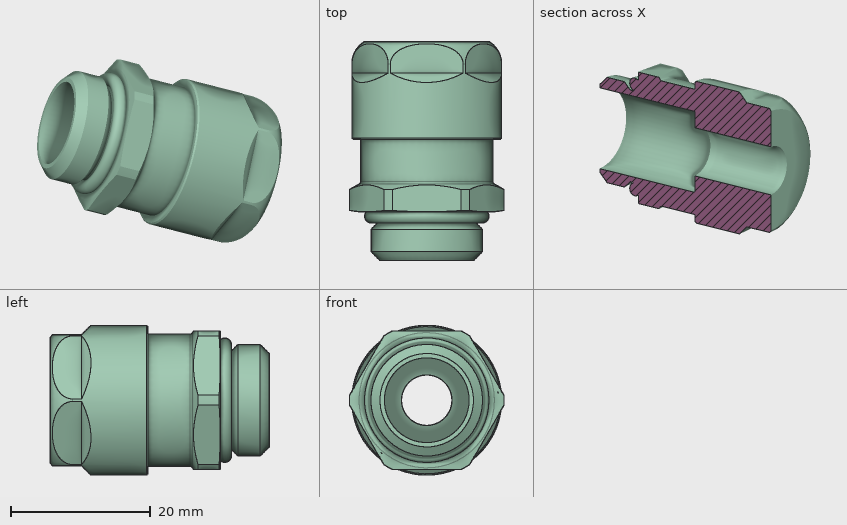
import cadquery as cq
import math

LENGTH = 31.4

THREAD_DIA = 16.0
THREAD_CHAMFER = 1.3
THREAD_END = 4.5
GROOVE_DIA = 13.93

RING_DIA = 17.85
RING_START = 5.4

HEX_FACE = 7.0
HEX_FACE_CONE = 0.2
HEX_FACE_DIA = 19.4
HEX_BACK = 11.13
HEX_ACROSS_FLATS = 19.9
HEX_CORNER_DIA = 22.2
HEX_BEVEL_ANGLE = 30.0
BLEND_RADIUS = 0.35

BODY_DIA = 19.0

NUT_START = 17.4
NUT_DIA = 21.5
NUT_CHAMFER = 0.2
NUT_END_DIA = 18.0
NUT_DOME_LENGTH = 3.2
NUT_FLAT_LENGTH = 4.5
NUT_ACROSS_FLATS = 18.8

BORE_DIA = 12.15
BORE_DEPTH = NUT_START
CABLE_DIA = 7.2


def revolve_about_y(profile):
    """Turn a closed profile of (radius, Y) points about the Y axis."""
    return profile.close().revolve(360, (0, 0, 0), (0, 1, 0))


def cylinder(diameter, start, end):
    """Cylinder on the Y axis between two Y positions."""
    plane = cq.Workplane("XZ", origin=(0, start, 0))
    return plane.circle(diameter / 2).extrude(start - end)


def hexagon(across_flats, start, end):
    """Hexagonal prism on the Y axis with corners on +X and -X."""
    across_corners = across_flats / math.cos(math.radians(30))
    plane = cq.Workplane("XZ", origin=(0, start, 0))
    return plane.polygon(6, across_corners).extrude(start - end)


def make_spigot():
    """Threaded end with a lead-in chamfer and a 45 degree run-out into the ring groove."""
    thread_radius = THREAD_DIA / 2
    groove_radius = GROOVE_DIA / 2
    profile = cq.Workplane("XY").polyline([
        (0, 0),
        (thread_radius - THREAD_CHAMFER, 0),
        (thread_radius, THREAD_CHAMFER),
        (thread_radius, THREAD_END),
        (groove_radius, THREAD_END + thread_radius - groove_radius),
        (groove_radius, HEX_FACE),
        (0, HEX_FACE),
    ])
    return revolve_about_y(profile)


def make_ring():
    """Round-section sealing ring resting on the groove floor and pressed into the hexagon face."""
    groove_radius = GROOVE_DIA / 2
    section_radius = (RING_DIA - GROOVE_DIA) / 4
    section_radial = groove_radius + section_radius
    section_y = RING_START + section_radius
    section_end = section_y + section_radius
    diagonal = section_radius * math.cos(math.radians(45))
    profile = (
        cq.Workplane("XY")
        .moveTo(groove_radius, section_y)
        .threePointArc((section_radial + diagonal, section_y - diagonal), (section_radial, section_end))
        .lineTo(groove_radius, section_end)
    )
    return revolve_about_y(profile)


def make_body_hexagon():
    """Hexagon turned to a slight cone in front and a steeper cone behind that blends into the body."""
    corner_radius = HEX_CORNER_DIA / 2
    body_radius = BODY_DIA / 2
    bevel_length = (corner_radius - body_radius) * math.tan(math.radians(HEX_BEVEL_ANGLE))
    blend_angle = math.radians(90 - HEX_BEVEL_ANGLE)
    blend_length = BLEND_RADIUS * math.tan(blend_angle / 2)
    cone_end = (
        body_radius + blend_length * math.sin(blend_angle),
        HEX_BACK - blend_length * math.cos(blend_angle),
    )
    blend_middle = (
        body_radius + BLEND_RADIUS * (1 - math.cos(blend_angle / 2)),
        HEX_BACK + blend_length - BLEND_RADIUS * math.sin(blend_angle / 2),
    )
    profile = (
        cq.Workplane("XY")
        .moveTo(0, HEX_FACE)
        .lineTo(HEX_FACE_DIA / 2, HEX_FACE)
        .lineTo(corner_radius, HEX_FACE + HEX_FACE_CONE)
        .lineTo(corner_radius, HEX_BACK - bevel_length)
        .lineTo(*cone_end)
        .threePointArc(blend_middle, (body_radius, HEX_BACK + blend_length))
        .lineTo(0, HEX_BACK + blend_length)
    )
    turned = revolve_about_y(profile)
    prism = hexagon(HEX_ACROSS_FLATS, HEX_FACE, HEX_BACK + blend_length)
    return turned.intersect(prism)


def make_nut():
    """Cap nut with a rounded end and six flats that run out in 45 degree slopes."""
    nut_radius = NUT_DIA / 2
    end_radius = NUT_END_DIA / 2
    drop = nut_radius - end_radius
    dome_radius = (drop ** 2 + NUT_DOME_LENGTH ** 2) / (2 * drop)
    dome_start = LENGTH - NUT_DOME_LENGTH
    half_angle = math.asin(NUT_DOME_LENGTH / dome_radius) / 2
    dome_middle = (
        nut_radius - dome_radius * (1 - math.cos(half_angle)),
        dome_start + dome_radius * math.sin(half_angle),
    )
    profile = (
        cq.Workplane("XY")
        .moveTo(0, NUT_START)
        .lineTo(nut_radius - NUT_CHAMFER, NUT_START)
        .lineTo(nut_radius, NUT_START + NUT_CHAMFER)
        .lineTo(nut_radius, dome_start)
        .threePointArc(dome_middle, (end_radius, LENGTH))
        .lineTo(0, LENGTH)
    )
    nut = revolve_about_y(profile)
    flat_cutter = make_flat_cutter()
    for index in range(6):
        nut = nut.cut(flat_cutter.rotate((0, 0, 0), (0, 1, 0), 60 * index))
    return nut


def make_flat_cutter():
    """Block above the +Z flat, its front side sloping at 45 degrees."""
    flat_height = NUT_ACROSS_FLATS / 2
    block_height = NUT_DIA - flat_height
    flat_start = LENGTH - NUT_FLAT_LENGTH
    outline = [
        (flat_start, flat_height),
        (LENGTH, flat_height),
        (LENGTH, flat_height + block_height),
        (flat_start - block_height, flat_height + block_height),
    ]
    return cq.Workplane("YZ").polyline(outline).close().extrude(NUT_DIA / 2, both=True)


gland = make_spigot()
gland = gland.union(make_ring())
gland = gland.union(make_body_hexagon())
gland = gland.union(cylinder(BODY_DIA, HEX_BACK, NUT_START))
gland = gland.union(make_nut())
gland = gland.cut(cylinder(BORE_DIA, 0, BORE_DEPTH))
result = gland.cut(cylinder(CABLE_DIA, 0, LENGTH))